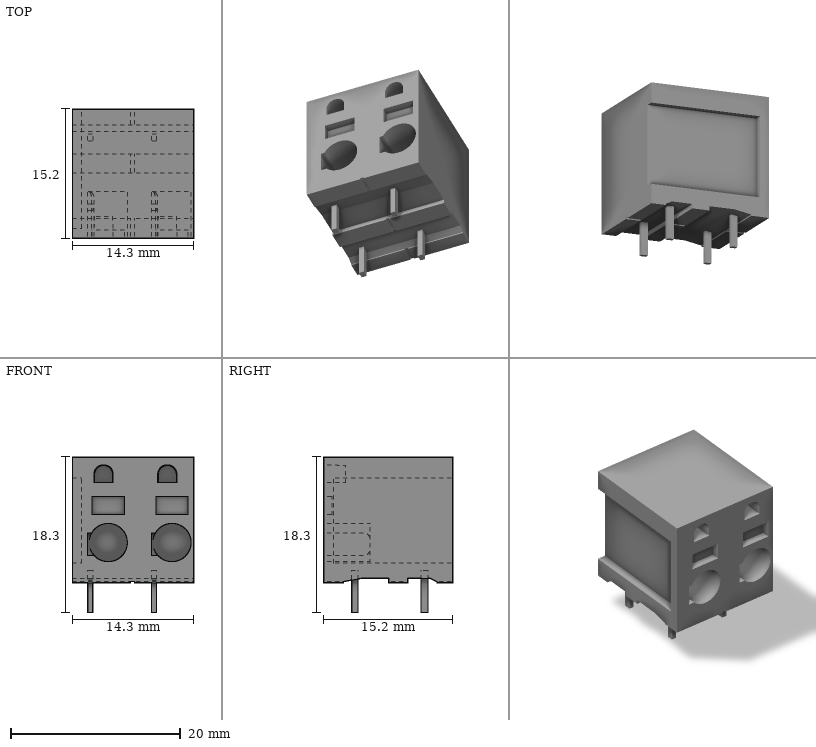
import cadquery as cq


WIDTH = 14.3
LENGTH = 15.2
TOP = 18.3
BOTTOM = 3.48

POLE_COUNT = 2
PITCH = 7.5
POLE_LEFT = 1.8

RECESS_DEPTH = 1.05
RECESS_FRONT = 1.19
RECESS_BOTTOM = BOTTOM + 2.38
RECESS_TOP = TOP - 2.49

FLOOR_RISE = 0.53
END_STEP = 0.15
FRONT_SLOPE_START = 2.32
FRONT_SLOPE_END = 4.48
FOOT_FRONT = 7.67
FOOT_BACK = 9.92
BACK_SLOPE_START = 12.55
BACK_SLOPE_END = 13.34

GROOVE_CENTER = 7.05
GROOVE_WIDTH = 0.48
GROOVE_DEPTH = 0.15

WIRE_RADIUS = 2.25
WIRE_X = POLE_LEFT + 2.42
WIRE_Z = TOP - 10.06
WIRE_DEPTH = 5.49
SLOT_BOTTOM = TOP - 11.57
SLOT_TOP = TOP - 8.97
SLOT_ROUNDING = 0.71

POCKET_LEFT = POLE_LEFT + 0.51
POCKET_WIDTH = 3.8
POCKET_BOTTOM = TOP - 6.77
POCKET_HEIGHT = 2.1
POCKET_DEPTH = 0.99

ARCH_X = POLE_LEFT + 1.87
ARCH_BOTTOM = TOP - 3.0
ARCH_HEIGHT = 2.09
ARCH_RADIUS = 1.13
ARCH_DEPTH = 2.56
ARCH_DRAFT = 0.07

PIN_WIDTH = 0.62
PIN_TOP = BOTTOM + 1.46
FRONT_PIN_Y = 3.3
FRONT_PIN_LENGTH = 0.77
BACK_PIN_Y = 11.45
BACK_PIN_LENGTH = 0.85


def box(x, y, z, size_x, size_y, size_z):
    """Box with its lowest corner at (x, y, z)."""
    return cq.Workplane("XY").box(size_x, size_y, size_z, centered=False).translate((x, y, z))


def housing_block():
    """Side profile with the stepped underside, extruded over the full width."""
    floor = BOTTOM + FLOOR_RISE
    slope_foot = BOTTOM + END_STEP
    profile = [
        (0, BOTTOM),
        (FRONT_SLOPE_START, BOTTOM),
        (FRONT_SLOPE_START, slope_foot),
        (FRONT_SLOPE_END, floor),
        (FOOT_FRONT, floor),
        (FOOT_FRONT, BOTTOM),
        (FOOT_BACK, BOTTOM),
        (FOOT_BACK, floor),
        (BACK_SLOPE_START, floor),
        (BACK_SLOPE_END, slope_foot),
        (BACK_SLOPE_END, BOTTOM),
        (LENGTH, BOTTOM),
        (LENGTH, TOP),
        (0, TOP),
    ]
    return cq.Workplane("YZ").polyline(profile).close().extrude(WIDTH)


def side_recess():
    return box(
        0, RECESS_FRONT, RECESS_BOTTOM,
        RECESS_DEPTH, LENGTH - RECESS_FRONT, RECESS_TOP - RECESS_BOTTOM,
    )


def underside_groove():
    return box(GROOVE_CENTER - GROOVE_WIDTH / 2, 0, BOTTOM, GROOVE_WIDTH, LENGTH, GROOVE_DEPTH)


def wire_entry(offset):
    """Round bore and its side slot."""
    bore = (
        cq.Workplane("XZ")
        .center(WIRE_X + offset, WIRE_Z)
        .circle(WIRE_RADIUS)
        .extrude(-WIRE_DEPTH)
    )
    slot = box(
        POLE_LEFT + offset, 0, SLOT_BOTTOM,
        WIRE_X - POLE_LEFT, WIRE_DEPTH, SLOT_TOP - SLOT_BOTTOM,
    )
    slot = slot.faces(">Y").edges("|X").fillet(SLOT_ROUNDING)
    return bore.union(slot)


def pocket(offset):
    return box(
        POCKET_LEFT + offset, 0, POCKET_BOTTOM,
        POCKET_WIDTH, POCKET_DEPTH, POCKET_HEIGHT,
    )


def arch_wire(center_x, depth, inset):
    """Arch outline at a given depth, pulled in on its sides and top."""
    radius = ARCH_RADIUS - inset
    spring = ARCH_BOTTOM + ARCH_HEIGHT - ARCH_RADIUS
    return (
        cq.Workplane("XZ", origin=(center_x, depth, 0))
        .moveTo(-radius, ARCH_BOTTOM)
        .lineTo(radius, ARCH_BOTTOM)
        .lineTo(radius, spring)
        .threePointArc((0, spring + radius), (-radius, spring))
        .close()
        .val()
    )


def test_hole(offset):
    mouth = arch_wire(ARCH_X + offset, 0, 0)
    deep_end = arch_wire(ARCH_X + offset, ARCH_DEPTH, ARCH_DRAFT)
    return cq.Workplane(obj=cq.Solid.makeLoft([mouth, deep_end], True))


def solder_pin(offset, y, length):
    return box(POLE_LEFT + offset, y, 0, PIN_WIDTH, length, PIN_TOP)


pole_offsets = [pole * PITCH for pole in range(POLE_COUNT)]

pins = []
for offset in pole_offsets:
    pins.append(solder_pin(offset, FRONT_PIN_Y, FRONT_PIN_LENGTH))
    pins.append(solder_pin(offset, BACK_PIN_Y, BACK_PIN_LENGTH))

housing = housing_block().cut(side_recess()).cut(underside_groove())
for offset in pole_offsets:
    housing = housing.cut(wire_entry(offset)).cut(pocket(offset)).cut(test_hole(offset))
for pin in pins:
    housing = housing.cut(pin)

result = cq.Compound.makeCompound([housing.val(), *[pin.val() for pin in pins]])